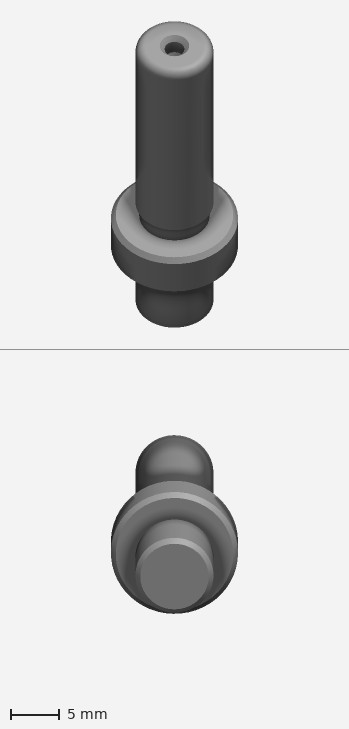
import cadquery as cq
import math

total_height = 38.0
collar_bottom = 7.98
collar_top = 13.0

collar_diameter = 13.0
shaft_diameter = 7.98
upper_neck_diameter = 7.22
lower_neck_diameter = 7.0

edge_chamfer = 0.5
upper_neck_length = 1.52
lower_neck_length = 0.45
tip_round_radius = 0.95

hole_diameter = 2.0
countersink_diameter = 3.0
countersink_angle = 90.0
hole_depth = 2.0
drill_point_angle = 120.0

collar_radius = collar_diameter / 2
shaft_radius = shaft_diameter / 2
upper_neck_radius = upper_neck_diameter / 2
lower_neck_radius = lower_neck_diameter / 2


def cone_height(radial_width, included_angle):
    """Axial height of a cone face spanning the given radial width."""
    return radial_width / math.tan(math.radians(included_angle / 2))


def pin_body():
    """Stepped pin with a collar and relief necks, revolved about Z."""
    lower_shoulder = shaft_radius - lower_neck_radius
    upper_shoulder = shaft_radius - upper_neck_radius
    lower_neck_start = collar_bottom - lower_neck_length
    upper_neck_end = collar_top + upper_neck_length
    tip_round_start = total_height - tip_round_radius
    tip_face_radius = shaft_radius - tip_round_radius
    arc_offset = tip_round_radius * math.sqrt(0.5)

    profile = (
        cq.Workplane("XZ")
        .lineTo(shaft_radius - edge_chamfer, 0)
        .lineTo(shaft_radius, edge_chamfer)
        .lineTo(shaft_radius, lower_neck_start - lower_shoulder)
        .lineTo(lower_neck_radius, lower_neck_start)
        .lineTo(lower_neck_radius, collar_bottom)
        .lineTo(collar_radius - edge_chamfer, collar_bottom)
        .lineTo(collar_radius, collar_bottom + edge_chamfer)
        .lineTo(collar_radius, collar_top - edge_chamfer)
        .lineTo(collar_radius - edge_chamfer, collar_top)
        .lineTo(upper_neck_radius, collar_top)
        .lineTo(upper_neck_radius, upper_neck_end)
        .lineTo(shaft_radius, upper_neck_end + upper_shoulder)
        .lineTo(shaft_radius, tip_round_start)
        .threePointArc(
            (tip_face_radius + arc_offset, tip_round_start + arc_offset),
            (tip_face_radius, total_height),
        )
        .lineTo(0, total_height)
        .close()
    )
    return profile.revolve(360, (0, 0, 0), (0, 1, 0))


def centre_hole():
    """Countersunk blind hole with a conical drill point, as a cutting solid."""
    hole_radius = hole_diameter / 2
    countersink_radius = countersink_diameter / 2
    countersink_depth = cone_height(countersink_radius - hole_radius, countersink_angle)
    hole_bottom = total_height - hole_depth
    point_height = cone_height(hole_radius, drill_point_angle)

    profile = (
        cq.Workplane("XZ")
        .moveTo(0, total_height)
        .lineTo(countersink_radius, total_height)
        .lineTo(hole_radius, total_height - countersink_depth)
        .lineTo(hole_radius, hole_bottom)
        .lineTo(0, hole_bottom - point_height)
        .close()
    )
    return profile.revolve(360, (0, 0, 0), (0, 1, 0))


result = pin_body().cut(centre_hole())